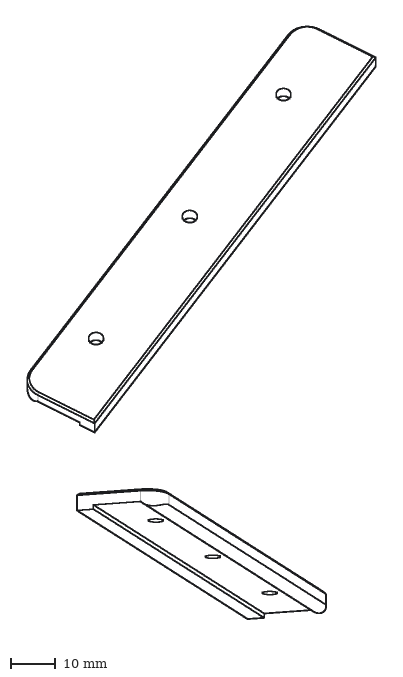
import cadquery as cq

width = 20.0
length = 120.0
height = 4.0

corner_radius = 5.0
top_chamfer = 0.5

recess_depth = 1.0
bead_width = 4.9
foot_width = 4.0

hole_diameter = 3.4
hole_x = 8.0
hole_count = 3
hole_pitch = length / hole_count


def strip_body():
    """Extrude the cross-section, with its bead and foot, along the length."""
    foot_x = width - foot_width
    return (
        cq.Workplane("XZ", origin=(0, length / 2, 0))
        .moveTo(0, height)
        .lineTo(0, recess_depth)
        .threePointArc((bead_width / 2, 0), (bead_width, recess_depth))
        .lineTo(foot_x, recess_depth)
        .lineTo(foot_x, 0)
        .lineTo(width, 0)
        .lineTo(width, height)
        .close()
        .extrude(length)
    )


def rounded_outline():
    """Block with rounded -X corners and a chamfer all round its top face."""
    return (
        cq.Workplane("XY")
        .box(width, length, height, centered=(False, True, False))
        .edges("|Z and <X")
        .fillet(corner_radius)
        .faces(">Z")
        .chamfer(top_chamfer)
    )


def holes():
    """Vertical pins that cut the row of through holes."""
    return (
        cq.Workplane("XY", origin=(hole_x, 0, 0))
        .rarray(1.2, hole_pitch, 1, hole_count)
        .circle(hole_diameter / 2)
        .extrude(height)
    )


result = strip_body().intersect(rounded_outline()).cut(holes())